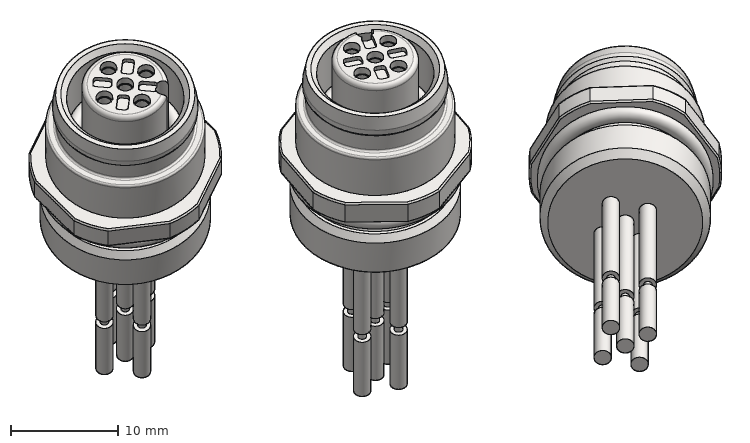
import cadquery as cq
import math


rear_chamfer = 0.75
collar_edge_z = 4.45
collar_top_z = 5.07
neck_bottom_z = 5.55
hex_bottom_z = 7.55
hex_top_z = 10.1
shoulder_z = 14.9
shoulder_fillet = 0.2
groove_fillet = 0.2
groove_top_z = 16.9
lip_bottom_z = 17.25
lip_taper_z = 17.87
rim_z = 19.35

collar_radius = 7.98
collar_top_radius = 7.35
flare_radius = 7.05
neck_radius = 6.75
shoulder_radius = 7.45
groove_radius = 6.5
lip_radius = 6.8
rim_radius = 6.5

hex_across_flats = 17.0
hex_corner_diameter = 18.0
hex_chamfer = 0.15

cup_radius = 5.5
cup_lead_in = 0.55
cup_floor_z = 12.68

insert_radius = 4.05
insert_top_z = 20.85
insert_fillet = 0.5
keyway_radius = 0.8
keyway_offset = 3.65
key_angle = 45.0

contact_spacing = 2.5
hole_radius = 0.65
hole_depth = 4.9
counterbore_radius = 0.78
counterbore_depth = 0.8

pocket_inner = 1.25
pocket_outer = 3.03
pocket_width = 1.1
pocket_depth = 0.5
pocket_corner_radius = 0.33

wire_radius = 0.8
core_radius = 0.4
wire_length = 20.05
strip_top_z = -12.05
strip_length = 1.0

outer_ring_section = 0.75
inner_ring_section = (cup_radius - insert_radius) / 2

contact_places = [(0, 0)] + [
    (
        contact_spacing * math.cos(math.radians(angle)),
        contact_spacing * math.sin(math.radians(angle)),
    )
    for angle in (0, 90, 180, 270)
]


def cylinder(radius, bottom, top):
    return cq.Workplane("XY").workplane(offset=bottom).circle(radius).extrude(top - bottom)


def turned_shell():
    """Round outside of the housing with the cup open at the top."""
    return (
        cq.Workplane("XZ")
        .moveTo(0, 0)
        .lineTo(collar_radius - rear_chamfer, 0)
        .lineTo(collar_radius, rear_chamfer)
        .lineTo(collar_radius, collar_edge_z)
        .lineTo(collar_top_radius, collar_top_z)
        .lineTo(flare_radius, collar_top_z)
        .lineTo(neck_radius, neck_bottom_z)
        .lineTo(neck_radius, hex_bottom_z)
        .lineTo(shoulder_radius, hex_bottom_z)
        .lineTo(shoulder_radius, shoulder_z - shoulder_fillet)
        .radiusArc((shoulder_radius - shoulder_fillet, shoulder_z), -shoulder_fillet)
        .lineTo(groove_radius + groove_fillet, shoulder_z)
        .radiusArc((groove_radius, shoulder_z + groove_fillet), groove_fillet)
        .lineTo(groove_radius, groove_top_z)
        .lineTo(lip_radius, lip_bottom_z)
        .lineTo(lip_radius, lip_taper_z)
        .lineTo(rim_radius, rim_z)
        .lineTo(cup_radius + cup_lead_in, rim_z)
        .lineTo(cup_radius, rim_z - cup_lead_in)
        .lineTo(cup_radius, cup_floor_z)
        .lineTo(0, cup_floor_z)
        .close()
        .revolve(360, (0, 0, 0), (0, 1, 0))
    )


def hex_flange():
    corner_to_corner = hex_across_flats / math.cos(math.radians(30))
    flange = (
        cq.Workplane("XY")
        .workplane(offset=hex_bottom_z)
        .polygon(6, corner_to_corner)
        .extrude(hex_top_z - hex_bottom_z)
    )
    flange = flange.intersect(cylinder(hex_corner_diameter / 2, hex_bottom_z, hex_top_z))
    return flange.faces("<Z or >Z").chamfer(hex_chamfer)


def pocket(angle):
    """Shallow pocket reaching away from the axis, with rounded corners."""
    return (
        cq.Workplane("XY")
        .workplane(offset=insert_top_z - pocket_depth)
        .center((pocket_inner + pocket_outer) / 2, 0)
        .rect(pocket_outer - pocket_inner, pocket_width)
        .extrude(pocket_depth)
        .edges("|Z")
        .fillet(pocket_corner_radius)
        .rotate((0, 0, 0), (0, 0, 1), angle)
    )


def contact_hole(x, y):
    hole = cylinder(hole_radius, insert_top_z - hole_depth, insert_top_z)
    mouth = cylinder(counterbore_radius, insert_top_z - counterbore_depth, insert_top_z)
    return hole.union(mouth).translate((x, y, 0))


def contact_insert():
    insert = cylinder(insert_radius, cup_floor_z, insert_top_z).faces(">Z").edges().fillet(insert_fillet)
    keyway = (
        cylinder(keyway_radius, cup_floor_z, insert_top_z)
        .translate((keyway_offset, 0, 0))
        .rotate((0, 0, 0), (0, 0, 1), key_angle)
    )
    insert = insert.cut(keyway)
    for angle in (45, 135, 225, 315):
        insert = insert.cut(pocket(angle))
    for x, y in contact_places:
        insert = insert.cut(contact_hole(x, y))
    return insert


def wire(x, y):
    insulation = cylinder(wire_radius, -wire_length, 0)
    strip = cylinder(wire_radius, strip_top_z - strip_length, strip_top_z)
    core = cylinder(core_radius, strip_top_z - strip_length, strip_top_z)
    return insulation.cut(strip.cut(core)).translate((x, y, 0))


def connector_body():
    body = turned_shell().union(hex_flange()).union(contact_insert())
    for x, y in contact_places:
        body = body.union(wire(x, y))
    return body


def sealing_ring(inner_radius, section_radius, center_z):
    return (
        cq.Workplane("XZ")
        .center(inner_radius + section_radius, center_z)
        .circle(section_radius)
        .revolve(360, (-inner_radius - section_radius, 0, 0), (-inner_radius - section_radius, 1, 0))
    )


connector = connector_body()
outer_seal = sealing_ring(neck_radius, outer_ring_section, hex_bottom_z - outer_ring_section)
inner_seal = sealing_ring(insert_radius, inner_ring_section, cup_floor_z + inner_ring_section)

result = cq.Compound.makeCompound([connector.val(), outer_seal.val(), inner_seal.val()])